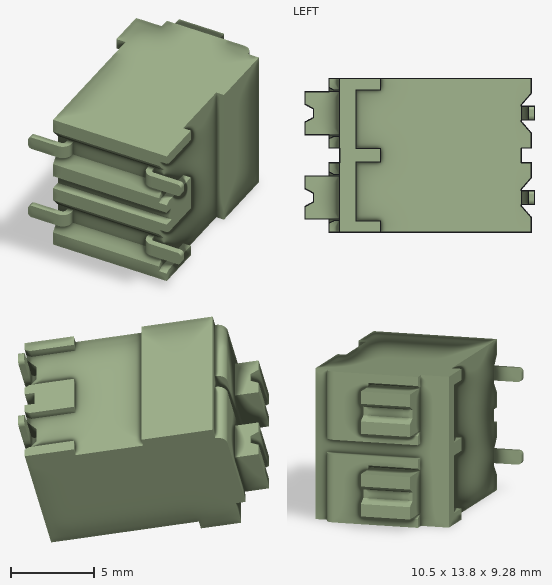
import cadquery as cq

UNIT_PITCH = 5.08
HOUSING_HEIGHT = 9.28
UNIT_HEIGHT = HOUSING_HEIGHT - UNIT_PITCH
UNIT_GAP = UNIT_PITCH - UNIT_HEIGHT
UNIT_CENTRES = (-UNIT_PITCH / 2, UNIT_PITCH / 2)

CORE_HALF_WIDTH = 3.64
BODY_LENGTH = 11.56

LATCH_DEPTH = 0.62
RAIL_START = 10.58
LATCH_START = 9.09
END_BAR_HEIGHT = 0.69
MIDDLE_BAR_HEIGHT = 0.8

PAD_DEPTH = 0.53
HOUSING_RIGHT = CORE_HALF_WIDTH + PAD_DEPTH
NOTCH_START = 3.02
NOTCH_END = 7.17

OPENING_HEIGHT = 2.78
MOUTH_HEIGHT = 3.09
FLARE_LENGTH = 0.3

GROOVE_DEPTH = 0.61
VEE_MOUTH_HEIGHT = 2.41
VEE_FLOOR_HEIGHT = 1.01

LIP_LEFT = -2.5
LIP_RIGHT = 3.41
LIP_LENGTH = 0.64
LIP_CORNER_RADIUS = 0.6
PLUG_LEFT = -2.47
PLUG_RIGHT = 0.64
PLUG_HEIGHT = 2.6
PLUG_END = 13.65
PLUG_NOTCH_DEPTH = 0.51
PLUG_NOTCH_MOUTH = 1.08
PLUG_NOTCH_FLOOR = 0.53

PIN_SPAN = 10.5
PIN_HEIGHT = 0.85
PIN_THICKNESS = 0.39
PIN_FRONT = -0.2
PIN_LEG_INSET = 2.59
PIN_BEND_RADIUS = 0.6
PIN_TIP_RADIUS = 0.25


def box(x_min, x_max, y_min, y_max, height, z_centre=0.0):
    """Block between the given X and Y limits, centred on z_centre."""
    return cq.Workplane("XY").box(
        x_max - x_min, y_max - y_min, height, centered=(False, False, True)
    ).translate((x_min, y_min, z_centre))


def x_prism(points, x_min, x_max, z_centre):
    """Extrude a (Y, Z) outline from x_min to x_max."""
    profile = cq.Workplane("YZ", origin=(x_min, 0, z_centre)).polyline(points).close()
    return profile.extrude(x_max - x_min)


def mirrored_outline(half_outline):
    """Close a (Y, half height) outline by repeating it below Z = 0."""
    return half_outline + [(y, -z) for y, z in reversed(half_outline)]


def make_core():
    core = box(-CORE_HALF_WIDTH, HOUSING_RIGHT, 0, BODY_LENGTH, HOUSING_HEIGHT)
    return core.cut(box(CORE_HALF_WIDTH, HOUSING_RIGHT, NOTCH_START, NOTCH_END, HOUSING_HEIGHT))


def make_latch():
    """Rail with three bars along Y, separated by two windows."""
    left = -CORE_HALF_WIDTH - LATCH_DEPTH
    latch = box(left, -CORE_HALF_WIDTH, LATCH_START, BODY_LENGTH, HOUSING_HEIGHT)
    window_top = HOUSING_HEIGHT / 2 - END_BAR_HEIGHT
    window_bottom = MIDDLE_BAR_HEIGHT / 2
    window_height = window_top - window_bottom
    window_offset = (window_top + window_bottom) / 2
    for z in (-window_offset, window_offset):
        latch = latch.cut(box(left, -CORE_HALF_WIDTH, LATCH_START, RAIL_START, window_height, z))
    return latch


def make_front_cuts(z):
    """Vee groove across the front and the flared opening through the front pad."""
    vee = mirrored_outline([(0, VEE_MOUTH_HEIGHT / 2), (GROOVE_DEPTH, VEE_FLOOR_HEIGHT / 2)])
    opening = mirrored_outline(
        [(0, MOUTH_HEIGHT / 2), (FLARE_LENGTH, OPENING_HEIGHT / 2), (NOTCH_START, OPENING_HEIGHT / 2)]
    )
    groove = x_prism(vee, -CORE_HALF_WIDTH, HOUSING_RIGHT, z)
    return groove.union(x_prism(opening, CORE_HALF_WIDTH, HOUSING_RIGHT, z))


def make_lip(z):
    """Raised lip with a rounded corner and a flared socket open towards -X."""
    lip_end = BODY_LENGTH + LIP_LENGTH
    lip = box(LIP_LEFT, LIP_RIGHT, BODY_LENGTH, lip_end, UNIT_HEIGHT, z)
    lip = lip.edges("|Z and >X and >Y").fillet(LIP_CORNER_RADIUS)
    socket = mirrored_outline(
        [
            (BODY_LENGTH, OPENING_HEIGHT / 2),
            (lip_end - FLARE_LENGTH, OPENING_HEIGHT / 2),
            (lip_end, MOUTH_HEIGHT / 2),
        ]
    )
    return lip.cut(x_prism(socket, LIP_LEFT, PLUG_RIGHT, z))


def make_plug(z):
    """Block with a trapezoidal notch across its end."""
    outline = mirrored_outline(
        [
            (BODY_LENGTH, PLUG_HEIGHT / 2),
            (PLUG_END, PLUG_HEIGHT / 2),
            (PLUG_END, PLUG_NOTCH_MOUTH / 2),
            (PLUG_END - PLUG_NOTCH_DEPTH, PLUG_NOTCH_FLOOR / 2),
        ]
    )
    return x_prism(outline, PLUG_LEFT, PLUG_RIGHT, z)


def make_pin(z):
    """Pin on the +X side: a leg out of the groove floor, bent into a foot with a rounded tip."""
    tip = PIN_SPAN / 2
    foot_back = PIN_FRONT + PIN_THICKNESS
    leg_outside = PIN_LEG_INSET + PIN_THICKNESS
    bend_x = PIN_LEG_INSET + PIN_BEND_RADIUS
    bend_y = PIN_FRONT + PIN_BEND_RADIUS
    inner_radius = PIN_BEND_RADIUS - PIN_THICKNESS
    pin = (
        cq.Workplane("XY", origin=(0, 0, z - PIN_HEIGHT / 2))
        .moveTo(PIN_LEG_INSET, GROOVE_DEPTH)
        .lineTo(PIN_LEG_INSET, bend_y)
        .radiusArc((bend_x, PIN_FRONT), -PIN_BEND_RADIUS)
        .lineTo(tip, PIN_FRONT)
        .lineTo(tip, foot_back)
        .lineTo(bend_x, foot_back)
        .radiusArc((leg_outside, bend_y), inner_radius)
        .lineTo(leg_outside, GROOVE_DEPTH)
        .close()
        .extrude(PIN_HEIGHT)
    )
    return pin.edges("|Y and >X").fillet(PIN_TIP_RADIUS)


result = make_core().union(make_latch())
result = result.cut(box(-CORE_HALF_WIDTH, HOUSING_RIGHT, 0, GROOVE_DEPTH, UNIT_GAP))

for unit_z in UNIT_CENTRES:
    right_pin = make_pin(unit_z)
    result = result.cut(make_front_cuts(unit_z))
    result = result.union(make_lip(unit_z)).union(make_plug(unit_z))
    result = result.union(right_pin).union(right_pin.mirror("YZ"))